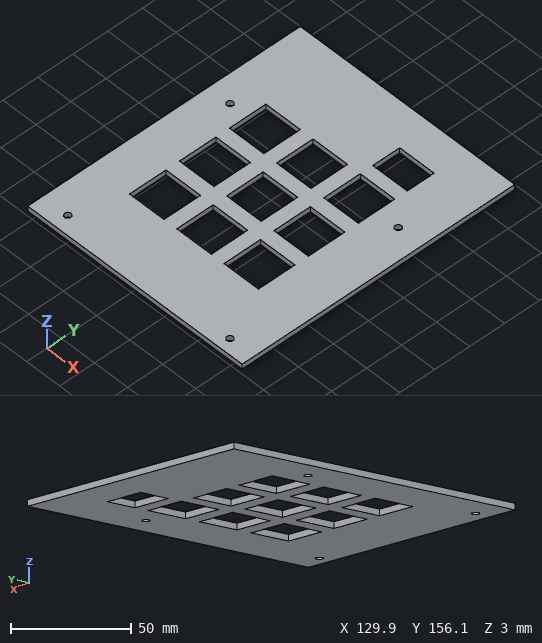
import cadquery as cq

plate_width = 129.9
plate_length = 156.1
plate_thickness = 3.0

window_size = 20.8
window_pitch = 28.5
windows_per_side = 3
grid_center_x = -2.0
grid_center_y = -3.3

display_height = 15.3
display_x = grid_center_x + window_pitch
display_y = 50.6

mount_diameter = 3.5
mount_points = [
    (-51.5, 25.1),
    (50.3, 25.1),
    (-49.5, -69.6),
    (50.3, -71.2),
]


def make_plate():
    """Flat plate resting on the XY plane."""
    return cq.Workplane("XY").box(
        plate_width, plate_length, plate_thickness, centered=(True, True, False)
    )


def cut_button_windows(body):
    """Cut the square grid of windows through the plate."""
    return (
        body.faces(">Z")
        .workplane(origin=(grid_center_x, grid_center_y, plate_thickness))
        .rarray(window_pitch, window_pitch, windows_per_side, windows_per_side)
        .rect(window_size, window_size)
        .cutThruAll()
    )


def cut_display_window(body):
    """Cut the short window, as wide as the button windows."""
    return (
        body.faces(">Z")
        .workplane(origin=(display_x, display_y, plate_thickness))
        .rect(window_size, display_height)
        .cutThruAll()
    )


def drill_mounting_holes(body):
    """Drill the four through holes."""
    return (
        body.faces(">Z")
        .workplane(origin=(0, 0, plate_thickness))
        .pushPoints(mount_points)
        .hole(mount_diameter)
    )


result = make_plate()
result = cut_button_windows(result)
result = cut_display_window(result)
result = drill_mounting_holes(result)